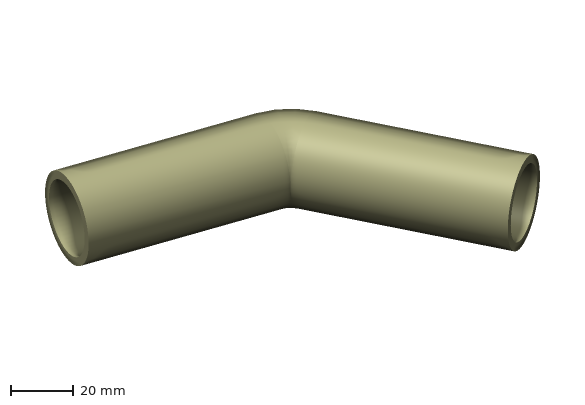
import cadquery as cq
import math

outer_diameter = 32.0
bore_diameter = 26.1

overall_length = 147.3
overall_width = 84.3
bend_angle = 45.0
bend_radius = 16.0

outer_radius = outer_diameter / 2
sin_bend = math.sin(math.radians(bend_angle))
cos_bend = math.cos(math.radians(bend_angle))

outside_radius = bend_radius + outer_radius
inside_radius = bend_radius - outer_radius
outlet_length = (overall_width - outside_radius + inside_radius * cos_bend) / sin_bend
inlet_length = overall_length - outside_radius * sin_bend - outlet_length * cos_bend


def bent_rod(diameter):
    """Solid rod of the given diameter along the bent centreline."""
    radius = diameter / 2
    inlet = cq.Workplane("XZ").circle(radius).extrude(-inlet_length)
    bend = (
        cq.Workplane("XZ", origin=(0, inlet_length, 0))
        .circle(radius)
        .revolve(bend_angle, (bend_radius, 0, 0), (bend_radius, -1, 0))
    )
    bend_end = (
        bend_radius * (1 - cos_bend),
        inlet_length + bend_radius * sin_bend,
        0,
    )
    outlet_plane = cq.Plane(origin=bend_end, xDir=(0, 0, 1), normal=(sin_bend, cos_bend, 0))
    outlet = cq.Workplane(outlet_plane).circle(radius).extrude(outlet_length)
    return inlet.union(bend).union(outlet)


result = bent_rod(outer_diameter).cut(bent_rod(bore_diameter))